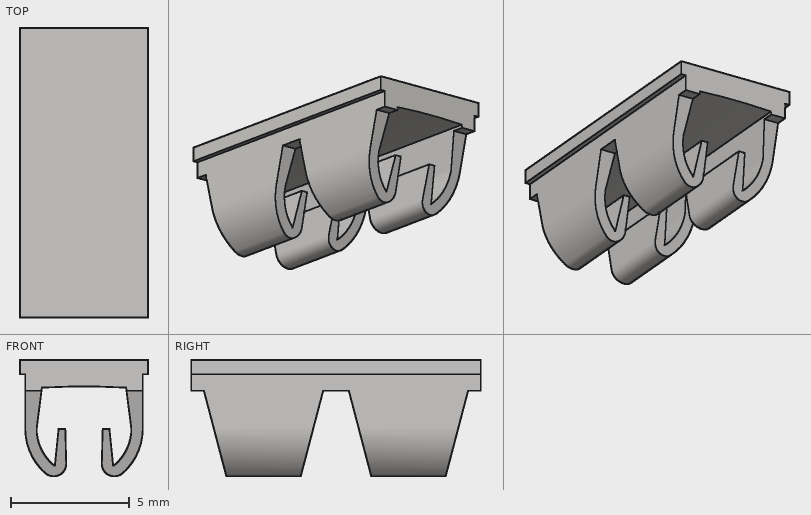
import cadquery as cq
import math

length = 12.2
plate_width = 5.4
plate_thickness = 0.61
total_height = 4.9
half_body = 2.48
body_bottom = -1.3

ceiling_crown = -1.12
ceiling_edge = -1.17
ceiling_half_width = 1.77
ceiling_rise = ceiling_crown - ceiling_edge
ceiling_radius = (ceiling_half_width**2 + ceiling_rise**2) / (2 * ceiling_rise)
ceiling_center_z = ceiling_crown - ceiling_radius
ceiling_edge_angle = math.acos(ceiling_half_width / ceiling_radius)

bend_z = -2.9
leg_thickness = 0.49
inner_radius = half_body - leg_thickness

lip_inside_x = 0.75
lip_tip_inner_x = 0.78
lip_tip_outer_x = 1.07
lip_tip_z = -2.9
groove_x = 1.23

leg_pitch = length / 2
leg_top_length = 5.03
leg_bottom_length = 3.14

drop = total_height + bend_z
half_linear = lip_inside_x - drop + half_body
constant = lip_inside_x**2 + drop**2 - half_body**2
round_radius = -half_linear + math.sqrt(half_linear**2 - constant)
round_x = lip_inside_x + round_radius
round_z = round_radius - total_height
tangent_angle = math.atan2(round_z - bend_z, round_x)
groove_angle = -math.acos(groove_x / inner_radius)


def polar(center_x, center_z, radius, angle):
    return (center_x + radius * math.cos(angle), center_z + radius * math.sin(angle))


def half_section():
    """Section of the +X half, from the middle plane around the leg and lip."""
    round_mid_angle = (tangent_angle - math.pi) / 2
    return (
        cq.Workplane("XZ")
        .moveTo(0, 0)
        .lineTo(plate_width / 2, 0)
        .lineTo(plate_width / 2, -plate_thickness)
        .lineTo(half_body, -plate_thickness)
        .lineTo(half_body, bend_z)
        .threePointArc(
            polar(0, bend_z, half_body, tangent_angle / 2),
            polar(0, bend_z, half_body, tangent_angle),
        )
        .threePointArc(
            polar(round_x, round_z, round_radius, round_mid_angle),
            (lip_inside_x, round_z),
        )
        .lineTo(lip_tip_inner_x, lip_tip_z)
        .lineTo(lip_tip_outer_x, lip_tip_z)
        .lineTo(*polar(0, bend_z, inner_radius, groove_angle))
        .threePointArc(
            polar(0, bend_z, inner_radius, groove_angle / 2),
            (inner_radius, bend_z),
        )
        .lineTo(ceiling_half_width, ceiling_edge)
        .threePointArc(
            polar(0, ceiling_center_z, ceiling_radius, (ceiling_edge_angle + math.pi / 2) / 2),
            (0, ceiling_crown),
        )
        .close()
        .extrude(length / 2, both=True)
    )


def leg_envelope(center_y):
    """Trapezoid that keeps one pair of legs, wide at the body and narrow below."""
    half_top = leg_top_length / 2
    half_bottom = leg_bottom_length / 2
    return (
        cq.Workplane("YZ")
        .polyline([
            (center_y - half_top, body_bottom),
            (center_y + half_top, body_bottom),
            (center_y + half_bottom, -total_height),
            (center_y - half_bottom, -total_height),
        ])
        .close()
        .extrude(plate_width / 2, both=True)
    )


envelope = cq.Workplane("XY").box(
    plate_width, length, -body_bottom, centered=(True, True, False)
).translate((0, 0, body_bottom))
for side in (-1, 1):
    envelope = envelope.union(leg_envelope(side * leg_pitch / 2))

half = half_section()
result = half.union(half.mirror("YZ")).intersect(envelope)